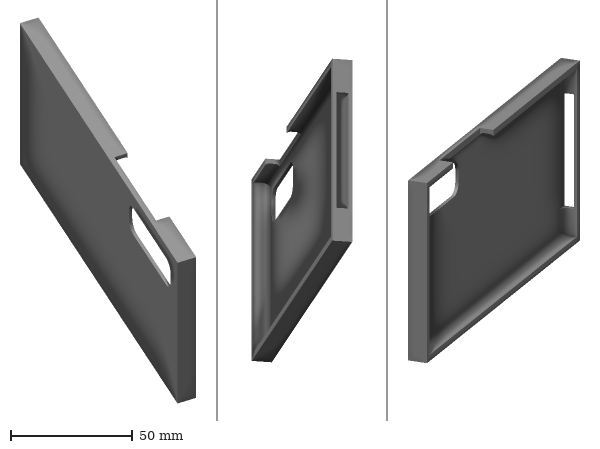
import cadquery as cq

LENGTH = 159.0
DEPTH = 8.42
HEIGHT = 79.0

WALL = 2.0
FLOOR = 1.5
DEVICE_DEPTH = 8.0
DEVICE_EDGE_RADIUS = 3.0

WINDOW_LENGTH = 42.0
WINDOW_HEIGHT = 15.0
WINDOW_MARGIN = 7.0
WINDOW_RADIUS = 5.0

NOTCH_START = 90.0
NOTCH_LENGTH = 42.0
NOTCH_FLOOR = 2.4

SLOT_LENGTH = 50.2
SLOT_START = 1.5
SLOT_DEPTH = 5.2


def box_from(corner, size):
    """Box spanned from its lowest corner."""
    return cq.Workplane("XY").box(*size, centered=False).translate(corner)


def device_cavity():
    """Device shape with its front and back edges rounded."""
    size = (LENGTH - 2 * WALL, DEVICE_DEPTH, HEIGHT - 2 * WALL)
    device = box_from((WALL, FLOOR, WALL), size)
    return device.faces("<Y or >Y").edges().fillet(DEVICE_EDGE_RADIUS)


def back_window():
    """Rounded window, cut from the back panel up to the open front."""
    corner = (
        LENGTH - WINDOW_MARGIN - WINDOW_LENGTH,
        0,
        HEIGHT - WINDOW_MARGIN - WINDOW_HEIGHT,
    )
    window = box_from(corner, (WINDOW_LENGTH, DEPTH, WINDOW_HEIGHT))
    return window.edges("|Y").fillet(WINDOW_RADIUS)


def top_notch():
    """Notch that interrupts the +Z wall."""
    reach = WALL + DEVICE_EDGE_RADIUS
    corner = (NOTCH_START, NOTCH_FLOOR, HEIGHT - reach)
    return box_from(corner, (NOTCH_LENGTH, DEPTH - NOTCH_FLOOR, reach))


def side_slot():
    """Slot through the -X wall."""
    reach = WALL + DEVICE_EDGE_RADIUS
    corner = (0, SLOT_START, (HEIGHT - SLOT_LENGTH) / 2)
    return box_from(corner, (reach, SLOT_DEPTH, SLOT_LENGTH))


case = box_from((0, 0, 0), (LENGTH, DEPTH, HEIGHT))
for opening in (device_cavity(), back_window(), top_notch(), side_slot()):
    case = case.cut(opening)
result = case